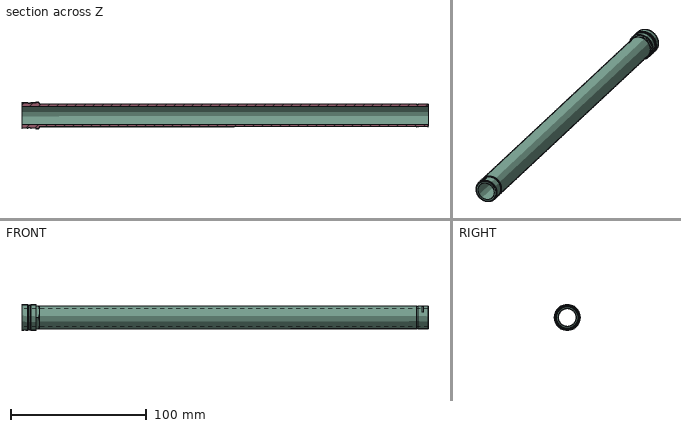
import cadquery as cq
import math

total_length = 300.0
tube_diameter = 17.0
bore_diameter = 13.0
end_chamfer = 0.6

head_diameter = 19.0
head_length = 10.5
ring_length = 4.1
ring_waist_depth = 0.1
head_groove_end = 6.8
head_groove_floor_width = 1.2
head_groove_depth = 0.4

hex_across_flats = tube_diameter
hex_across_corners = hex_across_flats / math.cos(math.radians(30))
hex_length = 2.6
hex_chamfer_angle = 30.0

end_groove_start = 291.0
end_groove_width = 1.0
end_groove_depth = 0.3

slot_center_x = 295.5
slot_width = 1.0
slot_depth = 0.7
slot_angle = 53.0


def cylinder_along_x(start, length, diameter):
    return cq.Workplane("YZ", origin=(start, 0, 0)).circle(diameter / 2).extrude(length)


def make_head():
    head_radius = head_diameter / 2
    waist_radius = head_radius - ring_waist_depth
    floor_radius = head_radius - head_groove_depth
    wall_run = (head_groove_end - ring_length - head_groove_floor_width) / 2
    return (
        cq.Workplane("XY")
        .lineTo(0, head_radius)
        .threePointArc((ring_length / 2, waist_radius), (ring_length, head_radius))
        .lineTo(ring_length + wall_run, floor_radius)
        .lineTo(head_groove_end - wall_run, floor_radius)
        .lineTo(head_groove_end, head_radius)
        .lineTo(head_length, head_radius)
        .lineTo(head_length, 0)
        .close()
        .revolve(360, (0, 0, 0), (1, 0, 0))
    )


def make_hexagon():
    prism = (
        cq.Workplane("YZ", origin=(head_length, 0, 0))
        .polygon(6, hex_across_corners)
        .extrude(hex_length)
    )
    corner_trim = cylinder_along_x(head_length, hex_length, hex_across_corners)
    chamfer_height = (hex_across_corners - hex_across_flats) / 2
    chamfer_length = chamfer_height * math.tan(math.radians(hex_chamfer_angle))
    corner_trim = corner_trim.faces(">X").chamfer(chamfer_length, chamfer_height)
    return prism.intersect(corner_trim)


def make_end_groove():
    floor_diameter = tube_diameter - 2 * end_groove_depth
    outer = cylinder_along_x(end_groove_start, end_groove_width, head_diameter)
    return outer.cut(cylinder_along_x(end_groove_start, end_groove_width, floor_diameter))


def make_slot():
    floor_radius = tube_diameter / 2 - slot_depth
    return (
        cq.Workplane("XY", origin=(slot_center_x, 0, floor_radius))
        .rect(slot_width, tube_diameter)
        .extrude(tube_diameter)
        .rotate((0, 0, 0), (1, 0, 0), 90 - slot_angle)
    )


tube = cylinder_along_x(0, total_length, tube_diameter).faces(">X").chamfer(end_chamfer)
result = (
    tube.union(make_head())
    .union(make_hexagon())
    .cut(make_end_groove())
    .cut(make_slot())
    .cut(cylinder_along_x(0, total_length, bore_diameter))
)